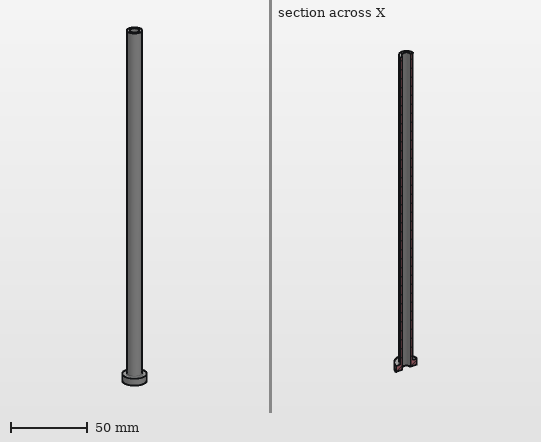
import cadquery as cq

total_length = 250.0
shaft_diameter = 10.0
head_diameter = 16.0
head_height = 5.0
bore_diameter = 6.2
neck_fillet = 0.5

shaft_radius = shaft_diameter / 2
head_radius = head_diameter / 2
bore_radius = bore_diameter / 2


def revolved_sleeve():
    """Revolve the wall section, with a concave fillet where the shaft meets the head."""
    section = (
        cq.Workplane("XZ")
        .moveTo(bore_radius, 0)
        .lineTo(head_radius, 0)
        .lineTo(head_radius, head_height)
        .lineTo(shaft_radius + neck_fillet, head_height)
        .radiusArc((shaft_radius, head_height + neck_fillet), neck_fillet)
        .lineTo(shaft_radius, total_length)
        .lineTo(bore_radius, total_length)
        .close()
    )
    return section.revolve(360, (0, 0, 0), (0, 1, 0))


result = revolved_sleeve()